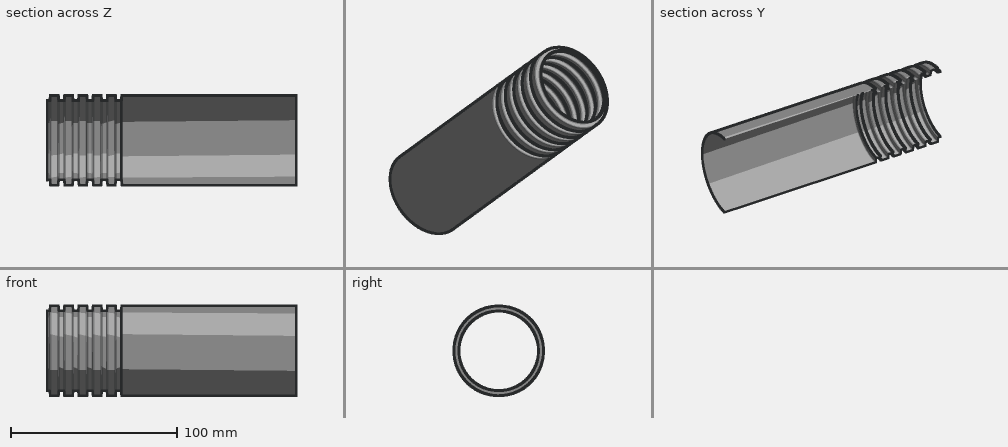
import math

import cadquery as cq

length = 150.0
outer_radius = 54.5 / 2
wall = 0.45

root_radius = 48.4 / 2
rib_count = 5
rib_pitch = 8.6
first_rib_center = rib_pitch / 2
rib_width = 5.45
flank_angle = 5.0
corner_fillet = 0.22

rib_centers = [first_rib_center + index * rib_pitch for index in range(rib_count)]
sleeve_center = first_rib_center + rib_count * rib_pitch

lean = math.radians(flank_angle)
flank_run = (outer_radius - root_radius) * math.tan(lean)
fillet_setback = corner_fillet * math.tan((math.pi / 2 - lean) / 2)
setback_along_axis = fillet_setback * math.sin(lean)
setback_radial = fillet_setback * math.cos(lean)


def add_rising_flank(outline, center, half_width, root, crown, root_rounded):
    """Climb from the root to the crown on the low-X side of a rib."""
    foot = center - half_width - flank_run / 2
    shoulder = center - half_width + flank_run / 2
    if root_rounded:
        outline = outline.lineTo(foot - fillet_setback, root)
        outline = outline.tangentArcPoint(
            (foot + setback_along_axis, root + setback_radial), relative=False
        )
    else:
        outline = outline.lineTo(foot, root)
    outline = outline.lineTo(shoulder - setback_along_axis, crown - setback_radial)
    return outline.tangentArcPoint((shoulder + fillet_setback, crown), relative=False)


def add_falling_flank(outline, center, half_width, root, crown):
    """Descend from the crown to the root on the high-X side of a rib."""
    shoulder = center + half_width - flank_run / 2
    foot = center + half_width + flank_run / 2
    outline = outline.lineTo(shoulder - fillet_setback, crown)
    outline = outline.tangentArcPoint(
        (shoulder + setback_along_axis, crown - setback_radial), relative=False
    )
    outline = outline.lineTo(foot - setback_along_axis, root + setback_radial)
    return outline.tangentArcPoint((foot + fillet_setback, root), relative=False)


def corrugated_solid(inset):
    """Solid of revolution about X whose surface lies the inset below the outer skin."""
    root = root_radius - inset
    crown = outer_radius - inset
    half_width = rib_width / 2 - inset / math.cos(lean) + inset * math.tan(lean)
    outline = cq.Workplane("XY").lineTo(0, root)
    for center in rib_centers:
        outline = add_rising_flank(outline, center, half_width, root, crown, True)
        outline = add_falling_flank(outline, center, half_width, root, crown)
    outline = add_rising_flank(outline, sleeve_center, half_width, root, crown, False)
    outline = outline.lineTo(length, crown).lineTo(length, 0).close()
    return outline.revolve(360, (0, 0, 0), (1, 0, 0))


result = corrugated_solid(0).cut(corrugated_solid(wall))